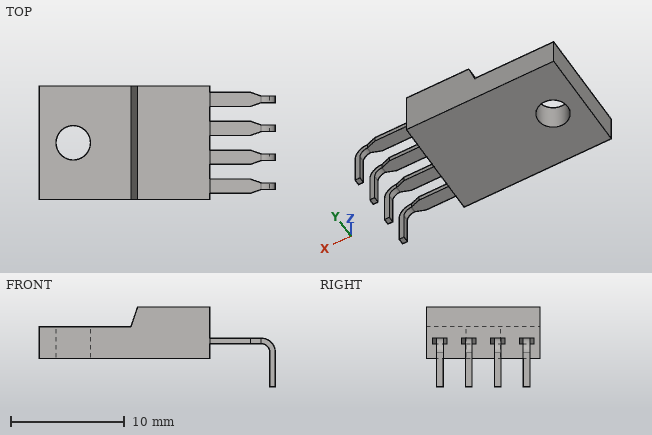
import cadquery as cq

overall_height = 7.03
body_length = 15.0
body_width = 10.0
body_height = 4.55
tab_thickness = 2.8
step_foot_x = 8.05
step_crest_x = 8.65

hole_diameter = 3.0
hole_x = 3.0

lead_count = 4
lead_pitch = 2.54
lead_thickness = 0.5
lead_top_z = 1.8
lead_wide = 1.27
lead_narrow = 0.6
taper_start_x = 18.55
taper_end_x = 19.5
lead_outer_x = 20.75
lead_tip_z = body_height - overall_height
bend_outer_radius = 1.25
bend_inner_radius = bend_outer_radius - lead_thickness


def make_body():
    profile = [
        (0, 0),
        (body_length, 0),
        (body_length, body_height),
        (step_crest_x, body_height),
        (step_foot_x, tab_thickness),
        (0, tab_thickness),
    ]
    body = cq.Workplane("XZ").polyline(profile).close().extrude(body_width / 2, both=True)
    hole = cq.Workplane("XY").center(hole_x, 0).circle(hole_diameter / 2).extrude(tab_thickness)
    return body.cut(hole)


def make_lead():
    """One lead centred on Y = 0: a bent strip trimmed to its tapered plan outline."""
    strip = (
        cq.Workplane("XZ")
        .moveTo(body_length, lead_top_z)
        .lineTo(lead_outer_x - bend_outer_radius, lead_top_z)
        .radiusArc((lead_outer_x, lead_top_z - bend_outer_radius), bend_outer_radius)
        .lineTo(lead_outer_x, lead_tip_z)
        .lineTo(lead_outer_x - lead_thickness, lead_tip_z)
        .lineTo(lead_outer_x - lead_thickness, lead_top_z - bend_outer_radius)
        .radiusArc((lead_outer_x - bend_outer_radius, lead_top_z - lead_thickness), -bend_inner_radius)
        .lineTo(body_length, lead_top_z - lead_thickness)
        .close()
        .extrude(lead_wide / 2, both=True)
    )
    half_outline = [
        (body_length, lead_wide / 2),
        (taper_start_x, lead_wide / 2),
        (taper_end_x, lead_narrow / 2),
        (lead_outer_x, lead_narrow / 2),
    ]
    mirrored_half = [(x, -y) for x, y in reversed(half_outline)]
    outline = (
        cq.Workplane("XY", origin=(0, 0, lead_tip_z))
        .polyline(half_outline + mirrored_half)
        .close()
        .extrude(lead_top_z - lead_tip_z)
    )
    return strip.intersect(outline)


result = make_body()
lead = make_lead()
for index in range(lead_count):
    lead_y = (index - (lead_count - 1) / 2) * lead_pitch
    result = result.union(lead.translate((0, lead_y, 0)))